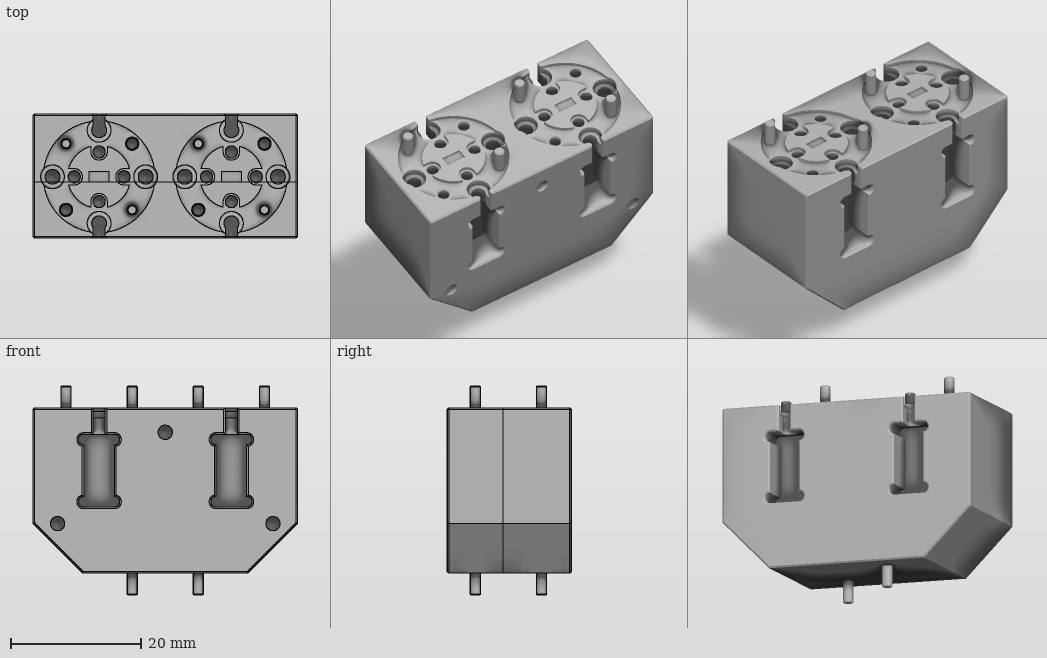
import cadquery as cq
import math

LENGTH = 40.65
WIDTH = 19.05
HEIGHT = 25.4
CORNER_CUT = 7.65
EDGE_CHAMFER = 0.25
TOP_Z = HEIGHT / 2
BOTTOM_Z = -HEIGHT / 2
FRONT_Y = -WIDTH / 2
BACK_Y = WIDTH / 2

SOCKET_SPACING = 20.3
SOCKET_Y = -0.12
SOCKET_XS = (-SOCKET_SPACING / 2, SOCKET_SPACING / 2)
RING_RADIUS = 8.58
RING_DEPTH = 0.53
ISLAND_RADIUS = 4.85
KEY_LENGTH = 3.1
KEY_WIDTH = 1.63
KEY_DEPTH = 0.33
SPLIT_Y = SOCKET_Y - KEY_WIDTH / 2
QUARTER_ANGLES = (0, 90, 180, 270)

OUTER_HOLE_RADIUS = 1.15
OUTER_HOLE_CIRCLE = 7.15
OUTER_HOLE_DEPTH = 4.88
COUNTERBORE_RADIUS = 1.83
COUNTERBORE_DEPTH = 1.55

INNER_HOLE_RADIUS = 0.95
INNER_HOLE_CIRCLE = 3.8
INNER_HOLE_DEPTH = 2.85
NOTCH_RADIUS = 1.25

PIN_RADIUS = 1.6 / 2
PIN_CHAMFER = 0.15
PIN_PROTRUSION = 3.37
PIN_SEAT = 4.88
GUIDE_OFFSET = 5.1
GUIDE_HOLE_RADIUS = 0.85
GUIDE_HOLE_CHAMFER = 0.15
GUIDE_HOLE_DEPTH = PIN_SEAT

POCKET_WIDTH = 4.7
POCKET_HEIGHT = 11.18
POCKET_DEPTH = 5.0
POCKET_CEILING_Z = TOP_Z - 4.05
POCKET_RELIEF_RADIUS = 0.8
SLOT_WIDTH = 1.85

SCREW_RADIUS = 1.1
SCREW_DEPTH = 4.88
UPPER_SCREW_Z = 8.95
LOWER_SCREW_X = 16.55
LOWER_SCREW_Z = -5.1

DRILL_TIP_ANGLE = 118.0
CHAMFER_ANGLE = 45


def cylinder(x, y, bottom_z, top_z, radius):
    """Upright cylinder between two heights."""
    return cq.Workplane("XY", origin=(x, y, bottom_z)).circle(radius).extrude(top_z - bottom_z)


def drill(radius, depth):
    """Drilled-hole cutter from the origin down: a cylinder with a conical tip below its depth."""
    tip_height = radius / math.tan(math.radians(DRILL_TIP_ANGLE / 2))
    profile = [(0, 0), (radius, 0), (radius, -depth), (0, -depth - tip_height)]
    return cq.Workplane("XZ").polyline(profile).close().revolve(360, (0, 0, 0), (0, 1, 0))


def points_around(x, radius):
    """Four points at quarter turns around the socket centred at x."""
    angles = [math.radians(angle) for angle in QUARTER_ANGLES]
    return [(x + radius * math.cos(a), SOCKET_Y + radius * math.sin(a)) for a in angles]


def plain_block():
    outline = [
        (-LENGTH / 2, TOP_Z),
        (LENGTH / 2, TOP_Z),
        (LENGTH / 2, BOTTOM_Z + CORNER_CUT),
        (LENGTH / 2 - CORNER_CUT, BOTTOM_Z),
        (-LENGTH / 2 + CORNER_CUT, BOTTOM_Z),
        (-LENGTH / 2, BOTTOM_Z + CORNER_CUT),
    ]
    block = cq.Workplane("XZ").polyline(outline).close().extrude(WIDTH / 2, both=True)
    return block.faces(">Z").edges("|Y").chamfer(EDGE_CHAMFER)


def connector_pocket(x, face_y, inward):
    """Pocket with round corner reliefs, joined to the top by a narrow slot.

    inward is +1 for a pocket cut toward +Y and -1 for one cut toward -Y.
    """
    middle_y = face_y + inward * POCKET_DEPTH / 2
    middle_z = POCKET_CEILING_Z - POCKET_HEIGHT / 2
    relief_x = POCKET_WIDTH / 2
    relief_z = POCKET_HEIGHT / 2 - POCKET_RELIEF_RADIUS
    relief_points = [(side * relief_x, level * relief_z) for side in (-1, 1) for level in (-1, 1)]

    body = cq.Workplane("XY").box(POCKET_WIDTH, POCKET_DEPTH, POCKET_HEIGHT)
    reliefs = (
        cq.Workplane("XZ")
        .pushPoints(relief_points)
        .circle(POCKET_RELIEF_RADIUS)
        .extrude(POCKET_DEPTH / 2, both=True)
    )
    pocket = body.union(reliefs).translate((x, middle_y, middle_z))

    outer_hole_y = SOCKET_Y - inward * OUTER_HOLE_CIRCLE
    slot_height = TOP_Z - POCKET_CEILING_Z
    slot = (
        cq.Workplane("XY")
        .box(SLOT_WIDTH, abs(outer_hole_y - face_y), slot_height)
        .translate((x, (face_y + outer_hole_y) / 2, TOP_Z - slot_height / 2))
    )
    return pocket.union(slot)


def ring_recess(x):
    """Ring-shaped recess around a notched island that stays level with the top."""
    floor_z = TOP_Z - RING_DEPTH
    island = cylinder(x, SOCKET_Y, floor_z, TOP_Z, ISLAND_RADIUS)
    notch = (
        cq.Workplane("XY", origin=(INNER_HOLE_CIRCLE, 0, floor_z))
        .circle(NOTCH_RADIUS)
        .extrude(RING_DEPTH)
        .union(
            cq.Workplane("XY", origin=(INNER_HOLE_CIRCLE, 0, floor_z))
            .rect(2 * NOTCH_RADIUS, 2 * NOTCH_RADIUS)
            .extrude(RING_DEPTH)
            .translate((NOTCH_RADIUS, 0, 0))
        )
    )
    for angle in QUARTER_ANGLES:
        turned_notch = notch.rotate((0, 0, 0), (0, 0, 1), angle)
        island = island.cut(turned_notch.translate((x, SOCKET_Y, 0)))
    return cylinder(x, SOCKET_Y, floor_z, TOP_Z, RING_RADIUS).cut(island)


def key_recess(x):
    return (
        cq.Workplane("XY", origin=(x, SOCKET_Y, TOP_Z - KEY_DEPTH))
        .rect(KEY_LENGTH, KEY_WIDTH)
        .extrude(KEY_DEPTH)
    )


def cut_contact_holes(block, x):
    for hole_x, hole_y in points_around(x, OUTER_HOLE_CIRCLE):
        block = block.cut(cylinder(hole_x, hole_y, TOP_Z - COUNTERBORE_DEPTH, TOP_Z, COUNTERBORE_RADIUS))
        block = block.cut(drill(OUTER_HOLE_RADIUS, OUTER_HOLE_DEPTH).translate((hole_x, hole_y, TOP_Z)))
    for hole_x, hole_y in points_around(x, INNER_HOLE_CIRCLE):
        block = block.cut(drill(INNER_HOLE_RADIUS, INNER_HOLE_DEPTH).translate((hole_x, hole_y, TOP_Z)))
    return block


def guide_hole():
    """Cutter for a free guide hole with a chamfered mouth at the origin."""
    mouth_radius = GUIDE_HOLE_RADIUS + GUIDE_HOLE_CHAMFER
    mouth = cq.Workplane("XY").circle(mouth_radius).extrude(-GUIDE_HOLE_CHAMFER, taper=CHAMFER_ANGLE)
    return drill(GUIDE_HOLE_RADIUS, GUIDE_HOLE_DEPTH).union(mouth)


def cut_guide_holes(block, x):
    """Two free guide holes on the diagonal that carries no pins, opening at the ring floor."""
    floor_z = TOP_Z - RING_DEPTH
    for side in (-1, 1):
        place = (x + side * GUIDE_OFFSET, SOCKET_Y + side * GUIDE_OFFSET, floor_z)
        block = block.cut(guide_hole().translate(place))
    return block


def cut_screw_holes(block):
    screw = drill(SCREW_RADIUS, SCREW_DEPTH).rotate((0, 0, 0), (1, 0, 0), 90)
    places = [(0, UPPER_SCREW_Z), (-LOWER_SCREW_X, LOWER_SCREW_Z), (LOWER_SCREW_X, LOWER_SCREW_Z)]
    for x, z in places:
        block = block.cut(screw.translate((x, FRONT_Y, z)))
    return block


def upright_pin(x, y, bottom_z, top_z):
    return cylinder(x, y, bottom_z, top_z, PIN_RADIUS).edges().chamfer(PIN_CHAMFER)


def top_pins():
    """Two pins per socket, on the back-left to front-right diagonal."""
    places = [
        (x + side * GUIDE_OFFSET, SOCKET_Y - side * GUIDE_OFFSET) for x in SOCKET_XS for side in (-1, 1)
    ]
    return [upright_pin(x, y, TOP_Z - PIN_SEAT, TOP_Z + PIN_PROTRUSION) for x, y in places]


def bottom_pins():
    """Two pins under the block, on the same diagonal about the middle."""
    places = [(side * GUIDE_OFFSET, SOCKET_Y - side * GUIDE_OFFSET) for side in (-1, 1)]
    return [upright_pin(x, y, BOTTOM_Z - PIN_PROTRUSION, BOTTOM_Z + PIN_SEAT) for x, y in places]


def whole_block(pins):
    """The two housing halves as one shape, with every recess cut and the pins' seats made."""
    block = plain_block()
    for x in SOCKET_XS:
        block = block.cut(connector_pocket(x, FRONT_Y, 1))
        block = block.cut(connector_pocket(x, BACK_Y, -1))
    block = block.faces("<Y or >Y").edges().chamfer(EDGE_CHAMFER)
    for x in SOCKET_XS:
        block = block.cut(ring_recess(x)).cut(key_recess(x))
        block = cut_contact_holes(block, x)
        block = cut_guide_holes(block, x)
    block = cut_screw_holes(block)
    for pin in pins:
        block = block.cut(pin)
    return block


def slab(start_y, end_y):
    """Box as large as the block in X and Z, between two Y planes."""
    return cq.Workplane("XY").box(LENGTH, end_y - start_y, HEIGHT).translate((0, (start_y + end_y) / 2, 0))


def front_housing(block):
    return block.intersect(slab(FRONT_Y, SPLIT_Y))


def back_housing(block):
    return block.intersect(slab(SPLIT_Y, BACK_Y))


upper_pins = top_pins()
lower_pins = bottom_pins()
housing_block = whole_block(upper_pins + lower_pins)
front_half = front_housing(housing_block)
back_half = back_housing(housing_block)

result = cq.Compound.makeCompound(
    [
        front_half.val(),
        back_half.val(),
        *[pin.val() for pin in upper_pins],
        *[pin.val() for pin in lower_pins],
    ]
)